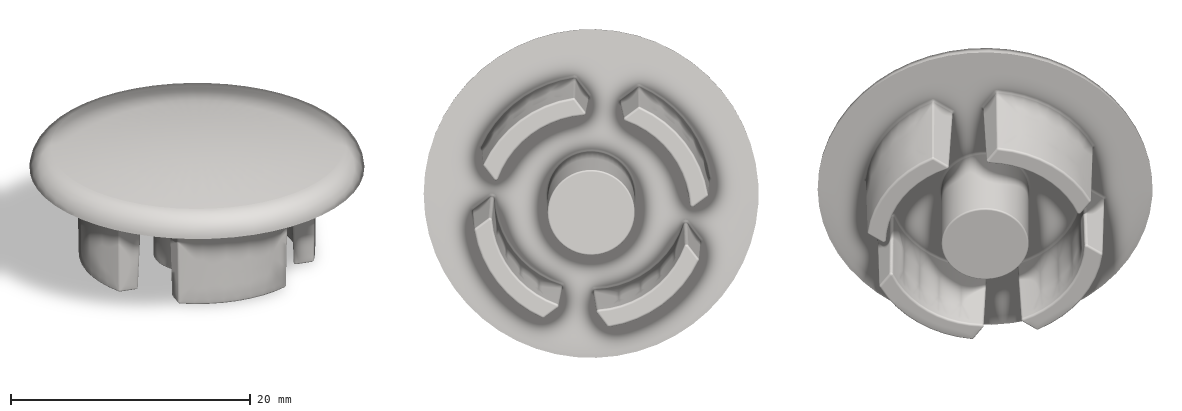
import cadquery as cq
import math

outer_diameter = 28.0
total_height = 10.78
leg_length = 8.0
rim_radius = 2.0

leg_count = 4
leg_outer_radius = 10.02
leg_inner_radius = 8.12
leg_half_width = 4.93
draft_angle = 1.0
leg_inner_draft_angle = 1.3
leg_edge_fillet = 0.2

boss_radius = 3.65
boss_edge_fillet = 0.15

root_fillet = 0.2

cap_height = total_height - leg_length
draft_shift = leg_length * math.tan(math.radians(draft_angle))
inner_draft_shift = leg_length * math.tan(math.radians(leg_inner_draft_angle))


def make_cap():
    """Revolve the cap; the spherical dome runs tangentially into the rim round."""
    rim_center = outer_diameter / 2 - rim_radius
    dome_radius = (rim_center**2 + cap_height**2 - rim_radius**2) / (2 * (cap_height - rim_radius))
    dome_center = cap_height - dome_radius
    rim_tilt = math.atan2(rim_center, -dome_center)

    def rim_point(angle):
        return (rim_center + rim_radius * math.sin(angle), rim_radius * math.cos(angle))

    dome_middle = (
        dome_radius * math.sin(rim_tilt / 2),
        dome_center + dome_radius * math.cos(rim_tilt / 2),
    )
    rim_middle = rim_point((rim_tilt + math.pi / 2) / 2)
    profile = (
        cq.Workplane("XZ")
        .lineTo(outer_diameter / 2, 0)
        .threePointArc(rim_middle, rim_point(rim_tilt))
        .threePointArc(dome_middle, (0, cap_height))
        .close()
    )
    return profile.revolve(360, (0, 0, 0), (0, 1, 0))


def make_leg():
    """One leg on the +X side: a drafted ring sector with flat, drafted end faces."""
    ring = (
        cq.Workplane("XZ")
        .moveTo(leg_inner_radius, 0)
        .lineTo(leg_outer_radius, 0)
        .lineTo(leg_outer_radius - draft_shift, -leg_length)
        .lineTo(leg_inner_radius + inner_draft_shift, -leg_length)
        .close()
        .revolve(360, (0, 0, 0), (0, 1, 0))
    )
    slab = (
        cq.Workplane("YZ")
        .moveTo(-leg_half_width, 0)
        .lineTo(leg_half_width, 0)
        .lineTo(leg_half_width - draft_shift, -leg_length)
        .lineTo(-leg_half_width + draft_shift, -leg_length)
        .close()
        .extrude(outer_diameter / 2)
    )
    return ring.intersect(slab).edges("not >Z").fillet(leg_edge_fillet)


def make_boss():
    """Plain round boss with a rounded lower edge."""
    boss = cq.Workplane("XY").circle(boss_radius).extrude(-leg_length)
    return boss.faces("<Z").edges().fillet(boss_edge_fillet)


result = make_cap().union(make_boss())
leg = make_leg()
for index in range(leg_count):
    result = result.union(leg.rotate((0, 0, 0), (0, 0, 1), index * 360 / leg_count))

underside = result.faces(cq.selectors.NearestToPointSelector((0, 0, 0))).val()
root_edges = [edge for wire in underside.innerWires() for edge in wire.Edges()]
result = result.newObject(root_edges).fillet(root_fillet)